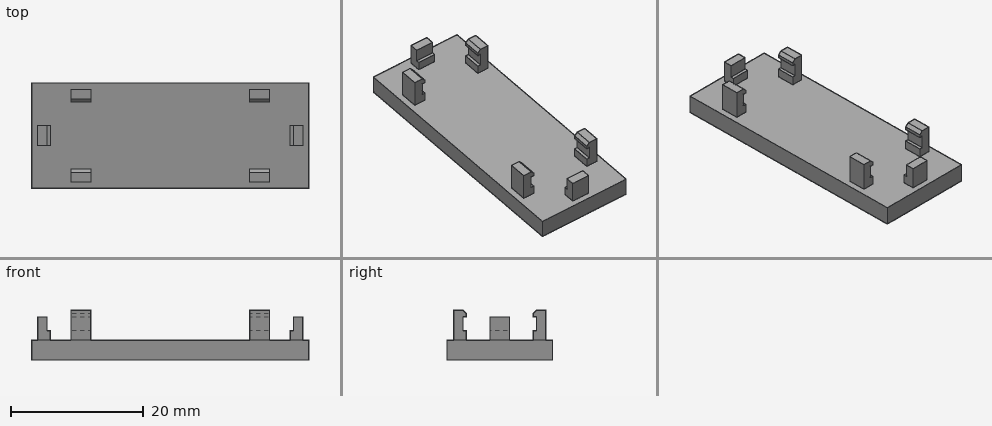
import cadquery as cq

plate_length = 41.7
plate_width = 15.9
plate_thickness = 3.0

clip_width = 3.0
foot_depth = 1.9
neck_depth = 1.4
foot_height = 1.4
end_clip_height = 3.5

side_clip_height = 4.5
hook_underside = end_clip_height
nose_chamfer = 0.5
side_clip_edge_gap = 1.0
side_clip_end_gap = 5.92

end_clip_edge_gap = 0.9

side_clip_profile = [
    (0, 0),
    (foot_depth, 0),
    (foot_depth, foot_height),
    (neck_depth, foot_height),
    (neck_depth, hook_underside),
    (foot_depth, hook_underside),
    (foot_depth, side_clip_height - nose_chamfer),
    (foot_depth - nose_chamfer, side_clip_height),
    (0, side_clip_height),
]
end_clip_profile = [
    (0, 0),
    (foot_depth, 0),
    (foot_depth, foot_height),
    (neck_depth, foot_height),
    (neck_depth, end_clip_height),
    (0, end_clip_height),
]


def make_clip(profile, plane):
    """Extrude a clip profile symmetrically about the given workplane."""
    return cq.Workplane(plane).polyline(profile).close().extrude(clip_width / 2, both=True)


result = cq.Workplane("XY").box(
    plate_length, plate_width, plate_thickness, centered=(True, True, False)
)

side_clip_x = plate_length / 2 - side_clip_end_gap - clip_width / 2
side_clip_y = -plate_width / 2 + side_clip_edge_gap
for x in (-side_clip_x, side_clip_x):
    front_clip = make_clip(side_clip_profile, "YZ").translate((x, side_clip_y, plate_thickness))
    result = result.union(front_clip).union(front_clip.mirror("XZ"))

end_clip_x = -plate_length / 2 + end_clip_edge_gap
left_clip = make_clip(end_clip_profile, "XZ").translate((end_clip_x, 0, plate_thickness))
result = result.union(left_clip).union(left_clip.mirror("YZ"))